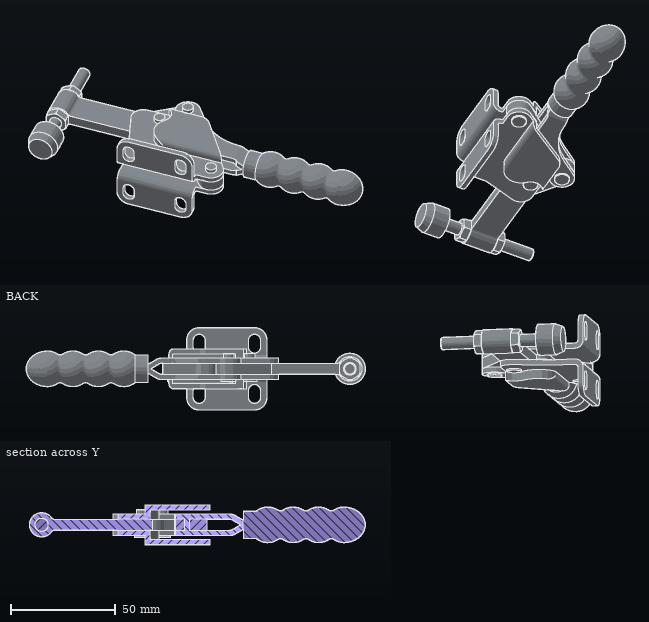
import cadquery as cq
import math


sheet = 2.6
arm_thickness = 5.2
boss_radius = 6.0
inner_z = arm_thickness / 2
outer_z = inner_z + sheet

lever_pivot = (58.2, 47.5)
arm_pivot = (48.1, 35.7)
base_pivot = (84.0, 11.0)
link_pivot = (69.8, 28.2)

pin_radius = 2.6
pin_end_z = 7.3
rivet_head_radius = 3.6
rivet_head_height = 0.8

base_left = 39.8
base_width = 38.6
base_right = base_left + base_width
base_top = 40.6
base_depth = 39.6
base_half_depth = base_depth / 2
waist_y = 16.0
left_lean = 17.4
right_slope = 55.5
bend_inner_radius = 1.5
bend_outer_radius = bend_inner_radius + sheet
bend_top = bend_outer_radius
relief_radius = 0.7
slot_width = 5.7
slot_length = 9.0
slot_z = 12.0

cover_outer_z = 9.6
cover_inner_z = cover_outer_z - sheet
cover_bottom = 17.1
cover_bend_radius = 3.1
rivet_clearance = 5.7
cover_corner = 8.5

arm_bottom = 26.0
arm_top = 40.3
barrel_radius = 5.9
barrel_blend = 2.0
shoulder_slope = 35.5
heel_slope = 72

rod_diameter = 6.0
rod_radius = rod_diameter / 2
rod_top = 61.0
rod_chamfer = 0.5
nut_across_flats = 10.0
nut_height = 3.9
nut_chamfer = 0.5
pad_radius = 7.5
pad_tip_radius = 6.0
pad_bottom = 1.1
pad_shoulder = 4.9
pad_top = 13.2

overall_length = 163
grip_start = 96.9
grip_end = overall_length - pad_radius
grip_y = 26.7
collar_radius = 6.7
lobe_count = 4
lobe_radius = 8.6
lobe_pitch = 12.2
first_lobe = 108.6
neck_radius = 2.3

tail_bottom = link_pivot[1] - boss_radius
tail_top = 32.1
strap_start = 92.8
strap_bottom = 21.7
tail_bend_start = 90.5
tail_bend = 30
tail_bend_radius = 2.0
neck_curve = 26.4
back_angle = 225


def tan(degrees):
    return math.tan(math.radians(degrees))


def polar(center, radius, degrees):
    """Point at a distance and direction from a center."""
    angle = math.radians(degrees)
    return (center[0] + radius * math.cos(angle), center[1] + radius * math.sin(angle))


def direction(start, end):
    """Direction from one point to another, in degrees."""
    return math.degrees(math.atan2(end[1] - start[1], end[0] - start[0]))


def rounded_outline(plane, corners):
    """Closed outline through (u, v, radius) corners; a radius of zero leaves a corner sharp."""
    outline = cq.Workplane(plane)
    for index, (u, v, radius) in enumerate(corners):
        before = direction((u, v), corners[index - 1][:2])
        after = direction((u, v), corners[(index + 1) % len(corners)][:2])
        half_angle = (after - before + 180) % 360 / 2 - 90
        reach = radius / abs(tan(half_angle)) if radius else 0
        start = polar((u, v), reach, before)
        outline = outline.lineTo(*start) if index else outline.moveTo(*start)
        if radius:
            bisector = before + half_angle
            to_center = radius / abs(math.sin(math.radians(half_angle)))
            middle = polar((u, v), to_center - radius, bisector)
            outline = outline.threePointArc(middle, polar((u, v), reach, after))
    return outline.close()


def disc(center, radius, bottom, top):
    """Cylinder along Z."""
    return cq.Workplane(origin=(*center, bottom)).circle(radius).extrude(top - bottom)


def plate(outline, bottom, top):
    """Outline in the XY plane extruded between two Z levels."""
    return outline.extrude(top - bottom).translate((0, 0, bottom))


def rivet(center):
    """Pin through both sheets with a flat head on the -Z side."""
    head_bottom = -outer_z - rivet_head_height
    pin = disc(center, pin_radius, -outer_z, pin_end_z)
    return pin.union(disc(center, rivet_head_radius, head_bottom, -outer_z))


def base_outline():
    """Side plate; its lower right corner is the boss around the base pivot."""
    foot_y = base_pivot[1] - boss_radius
    right_corner = base_pivot[0] + boss_radius / tan(right_slope / 2)
    top_right = right_corner - (base_top - foot_y) / tan(right_slope)
    top_left = base_left - (base_top - waist_y) * tan(left_lean)
    return rounded_outline("XY", [
        (base_left, bend_top, 0),
        (base_right, bend_top, 0),
        (base_right, foot_y, relief_radius),
        (right_corner, foot_y, boss_radius),
        (top_right, base_top, boss_radius),
        (top_left, base_top, boss_radius),
        (base_left, waist_y, boss_radius),
    ])


def cover_outline(inset):
    """Area of the cover, its left edge two tangent arcs, moved inward by the inset."""
    upper_radius = rivet_clearance + inset
    lower_radius = cover_corner - inset
    corner_y = cover_bottom + cover_corner
    drop = arm_pivot[1] - corner_y
    corner_x = arm_pivot[0] + math.sqrt((rivet_clearance + cover_corner) ** 2 - drop ** 2)
    corner = (corner_x, corner_y)
    crossing = math.degrees(math.asin((base_top - arm_pivot[1]) / upper_radius))
    joint = direction(arm_pivot, corner)
    lower_middle = (joint + 180 + 270) / 2
    far_x = base_pivot[0] + 2 * boss_radius
    return (
        cq.Workplane()
        .moveTo(*polar(arm_pivot, upper_radius, crossing))
        .threePointArc(
            polar(arm_pivot, upper_radius, (crossing + joint) / 2),
            polar(arm_pivot, upper_radius, joint),
        )
        .threePointArc(polar(corner, lower_radius, lower_middle), polar(corner, lower_radius, 270))
        .lineTo(far_x, corner_y - lower_radius)
        .lineTo(far_x, base_top)
        .close()
    )


def cover_solid(inset, top, bend_radius):
    """Cover area up to a Z level, with its lower edge rounded along X."""
    area = plate(cover_outline(inset), inner_z, top)
    bottom = cover_bottom + inset
    section = rounded_outline("YZ", [
        (bottom, inner_z, 0),
        (base_top, inner_z, 0),
        (base_top, top, 0),
        (bottom, top, bend_radius),
    ])
    return area.intersect(section.extrude(2 * base_right))


def foot():
    """Flange on the mounting face and the bend that joins it to the side plate."""
    bend = (
        cq.Workplane("YZ", origin=(base_left, 0, 0))
        .moveTo(bend_top, inner_z)
        .radiusArc((0, inner_z + bend_outer_radius), bend_outer_radius)
        .lineTo(sheet, inner_z + bend_outer_radius)
        .radiusArc((bend_top, outer_z), -bend_inner_radius)
        .close()
        .extrude(base_width)
    )
    bend_edge = inner_z + bend_outer_radius
    flange = (
        cq.Workplane()
        .box(base_width, sheet, base_half_depth - bend_edge, centered=False)
        .translate((base_left, 0, bend_edge))
        .edges(">Z and |Y")
        .fillet(boss_radius)
    )
    slots = (
        cq.Workplane("XZ", origin=(0, sheet, 0))
        .pushPoints([(base_left + boss_radius, slot_z), (base_right - boss_radius, slot_z)])
        .slot2D(slot_length, slot_width, 90)
        .extrude(sheet)
    )
    return bend.union(flange.cut(slots))


def base_half():
    side = plate(base_outline(), inner_z, outer_z)
    raised = plate(base_outline(), inner_z, cover_outer_z)
    raised = raised.intersect(cover_solid(0, cover_outer_z, cover_bend_radius))
    cavity = cover_solid(sheet, cover_inner_z, cover_bend_radius - sheet)
    return side.union(raised).cut(cavity).union(foot())


def make_base():
    half = base_half()
    base = half.union(half.mirror("XY"))
    for pivot in (arm_pivot, base_pivot):
        base = base.union(rivet(pivot))
    return base


def make_arm():
    """Flat arm with a boss at the lever pivot and a barrel for the spindle."""
    shoulder = polar(lever_pivot, boss_radius, 90 + shoulder_slope)
    heel = polar(lever_pivot, boss_radius, heel_slope - 90)
    shoulder_x = shoulder[0] - (shoulder[1] - arm_top) / tan(shoulder_slope)
    heel_x = heel[0] - (heel[1] - arm_bottom) / tan(heel_slope)
    outline = rounded_outline("XY", [
        (0, arm_bottom, 0),
        (heel_x, arm_bottom, boss_radius),
        (*heel, 0),
        (*lever_pivot, 0),
        (*shoulder, 0),
        (shoulder_x, arm_top, 0),
        (0, arm_top, 0),
    ])
    barrel_end = cq.Workplane("XZ", origin=(0, arm_top, 0))
    barrel = barrel_end.circle(barrel_radius).extrude(arm_top - arm_bottom)
    bore = barrel_end.circle(rod_radius).extrude(arm_top - arm_bottom)
    joint = cq.selectors.BoxSelector(
        (rod_radius, arm_bottom, -barrel_radius), (barrel_radius, arm_top, barrel_radius)
    )
    arm = plate(outline, -inner_z, inner_z).union(barrel)
    arm = arm.edges("|Y").edges(joint).fillet(barrel_blend)
    arm = arm.union(disc(lever_pivot, boss_radius, -inner_z, inner_z))
    for pivot in (lever_pivot, arm_pivot):
        arm = arm.cut(disc(pivot, pin_radius, -inner_z, inner_z))
    return arm.cut(bore)


def nut(bottom, outer_face):
    """Nut whose corners are chamfered on the face turned away from the arm."""
    half_side_angle = 30
    corner_diameter = nut_across_flats / math.cos(math.radians(half_side_angle))
    hexagon = (
        cq.Workplane("XZ", origin=(0, bottom, 0))
        .polygon(6, corner_diameter)
        .extrude(-nut_height)
        .rotate((0, 0, 0), (0, 1, 0), half_side_angle)
    )
    turned = (
        cq.Workplane("XZ", origin=(0, bottom, 0))
        .circle(corner_diameter / 2)
        .extrude(-nut_height)
        .faces(outer_face)
        .chamfer(nut_chamfer)
    )
    return hexagon.intersect(turned)


def make_spindle():
    rod = (
        cq.Workplane("XZ", origin=(0, pad_top, 0))
        .circle(rod_radius)
        .extrude(pad_top - rod_top)
        .faces(">Y")
        .chamfer(rod_chamfer)
    )
    pad = (
        cq.Workplane()
        .moveTo(0, pad_bottom)
        .lineTo(pad_tip_radius, pad_bottom)
        .lineTo(pad_radius, pad_shoulder)
        .lineTo(pad_radius, pad_top)
        .lineTo(0, pad_top)
        .close()
        .revolve(360, (0, 0, 0), (0, 1, 0))
    )
    lower_nut = nut(arm_bottom - nut_height, "<Y")
    upper_nut = nut(arm_top, ">Y")
    return rod.union(pad).union(lower_nut).union(upper_nut)


def lever_outline():
    """Sheet around the lever and link pivots, narrowing to the tail."""
    curve_center = (tail_bend_start, tail_top + neck_curve)
    distance = math.dist(lever_pivot, curve_center)
    spread = math.degrees(math.acos((boss_radius + neck_curve) / distance))
    front_angle = direction(lever_pivot, curve_center) + spread
    curve_start = front_angle + 180
    back = polar(lever_pivot, boss_radius, back_angle)
    lower_x = link_pivot[0] - boss_radius
    return (
        cq.Workplane()
        .moveTo(*back)
        .threePointArc(
            polar(lever_pivot, boss_radius, (front_angle + back_angle) / 2),
            polar(lever_pivot, boss_radius, front_angle),
        )
        .lineTo(*polar(curve_center, neck_curve, curve_start))
        .threePointArc(
            polar(curve_center, neck_curve, (curve_start + 270) / 2), (tail_bend_start, tail_top)
        )
        .lineTo(grip_start, tail_top)
        .lineTo(grip_start, strap_bottom)
        .lineTo(strap_start, strap_bottom)
        .lineTo(strap_start, tail_bottom)
        .lineTo(link_pivot[0], tail_bottom)
        .threePointArc(polar(link_pivot, boss_radius, 225), (lower_x, link_pivot[1]))
        .lineTo(lower_x, back[1] - (lower_x - back[0]) * tan(back_angle - 180))
        .close()
    )


def lever_section():
    """XZ section of the +Z sheet, bent at its tail to meet the other sheet at z = 0."""
    half_bend = tail_bend / 2
    inner_bend_x = tail_bend_start + tail_bend_radius * tan(half_bend)
    outer_bend_x = inner_bend_x + sheet * tan(half_bend)
    meeting_x = inner_bend_x + inner_z / tan(tail_bend)
    outer_end_z = outer_z - (grip_start - outer_bend_x) * tan(tail_bend)
    return rounded_outline("XZ", [
        (0, inner_z, 0),
        (inner_bend_x, inner_z, tail_bend_radius),
        (meeting_x, 0, 0),
        (grip_start, 0, 0),
        (grip_start, outer_end_z, 0),
        (outer_bend_x, outer_z, tail_bend_radius + sheet),
        (0, outer_z, 0),
    ])


def make_lever():
    reach = lever_pivot[1] + boss_radius
    sheet_half = plate(lever_outline(), 0, outer_z).intersect(lever_section().extrude(-reach))
    lever = sheet_half.union(sheet_half.mirror("XY"))
    lever = lever.union(rivet(lever_pivot))
    return lever.union(disc(link_pivot, pin_radius, -outer_z, outer_z))


def make_link():
    side = direction(base_pivot, link_pivot) - 90
    outline = (
        cq.Workplane()
        .moveTo(*polar(base_pivot, boss_radius, side))
        .lineTo(*polar(link_pivot, boss_radius, side))
        .threePointArc(
            polar(link_pivot, boss_radius, side + 90), polar(link_pivot, boss_radius, side + 180)
        )
        .lineTo(*polar(base_pivot, boss_radius, side + 180))
        .threePointArc(
            polar(base_pivot, boss_radius, side + 270), polar(base_pivot, boss_radius, side)
        )
        .close()
    )
    link = plate(outline, -inner_z, inner_z)
    for pivot in (base_pivot, link_pivot):
        link = link.cut(disc(pivot, pin_radius, -inner_z, inner_z))
    return link


def make_grip():
    """Turned grip: a collar, then spherical lobes blended by small necks, the last one longer."""
    half_pitch = lobe_pitch / 2
    blend_distance = lobe_radius + neck_radius
    blend_height = math.sqrt(blend_distance ** 2 - half_pitch ** 2)
    blend_x = lobe_radius / blend_distance * half_pitch
    blend_y = lobe_radius / blend_distance * blend_height
    last_lobe = first_lobe + (lobe_count - 1) * lobe_pitch
    lobe_start = first_lobe - math.sqrt(lobe_radius ** 2 - collar_radius ** 2)
    profile = (
        cq.Workplane()
        .moveTo(grip_start, 0)
        .lineTo(grip_start, collar_radius)
        .lineTo(lobe_start, collar_radius)
    )
    for index in range(lobe_count - 1):
        lobe_x = first_lobe + index * lobe_pitch
        profile = profile.threePointArc((lobe_x, lobe_radius), (lobe_x + blend_x, blend_y))
        profile = profile.threePointArc(
            (lobe_x + half_pitch, blend_height - neck_radius), (lobe_x + lobe_pitch - blend_x, blend_y)
        )
    last_middle = polar((last_lobe, 0), lobe_radius, (90 + direction((blend_x, 0), (0, blend_y))) / 2)
    profile = profile.threePointArc(last_middle, (last_lobe, lobe_radius))
    tip_length = grip_end - last_lobe
    profile = profile.parametricCurve(
        lambda t: (
            last_lobe + tip_length * math.sin(t * math.pi / 2),
            lobe_radius * math.cos(t * math.pi / 2),
        ),
        makeWire=False,
    )
    return profile.close().revolve(360, (0, 0, 0), (1, 0, 0)).translate((0, grip_y, 0))


base = make_base()
arm = make_arm()
spindle = make_spindle()
lever = make_lever()
link = make_link()
grip = make_grip()

result = cq.Compound.makeCompound([
    base.val(), arm.val(), spindle.val(), lever.val(), link.val(), grip.val(),
])